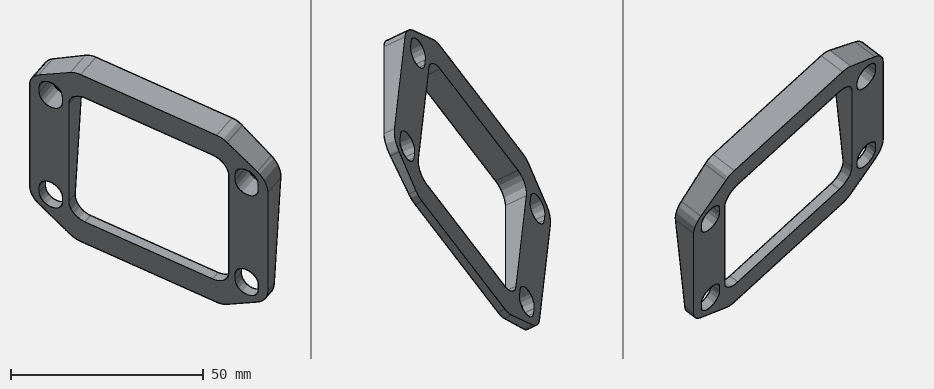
import cadquery as cq
import math

width = 73.0
height = 62.0
top_thickness = 7.5
taper_angle = 5.0
bottom_thickness = top_thickness - height * math.tan(math.radians(taper_angle))

bevel_x = 13.95
bevel_z = 8.8
outer_radius = 6.0
right_side_radius = 7.0

window_width = 49.0
window_height = 46.0
window_radius = 5.0

slot_spacing_x = 60.0
slot_spacing_z = 37.0
slot_width = 7.1
slot_length = 9.05


def front_plane():
    """Plane of the flat front face; its normal points toward -Y."""
    return cq.Workplane("XZ")


def make_plate():
    """Eight-sided plate with rounded corners, at full thickness."""
    half_x = width / 2
    half_z = height / 2
    flat_x = half_x - bevel_x
    flat_z = half_z - bevel_z
    outline = [
        (-flat_x, -half_z),
        (flat_x, -half_z),
        (half_x, -flat_z),
        (half_x, flat_z),
        (flat_x, half_z),
        (-flat_x, half_z),
        (-half_x, flat_z),
        (-half_x, -flat_z),
    ]
    plate = front_plane().polyline(outline).close().extrude(-top_thickness)
    plate = plate.edges("|Y and >X").fillet(right_side_radius)
    for edges in ("|Y and <X", "|Y and <Z", "|Y and >Z"):
        plate = plate.edges(edges).fillet(outer_radius)
    return plate


def make_wedge():
    """Side profile that is thick at the top and thin at the bottom."""
    profile = [
        (0, -height / 2),
        (bottom_thickness, -height / 2),
        (top_thickness, height / 2),
        (0, height / 2),
    ]
    return cq.Workplane("YZ").polyline(profile).close().extrude(width / 2, both=True)


def make_window():
    window = front_plane().rect(window_width, window_height).extrude(-top_thickness)
    return window.edges("|Y").fillet(window_radius)


def make_slots():
    return (
        front_plane()
        .rect(slot_spacing_x, slot_spacing_z, forConstruction=True)
        .vertices()
        .slot2D(slot_length, slot_width, 90)
        .extrude(-top_thickness)
    )


result = make_plate().intersect(make_wedge()).cut(make_window()).cut(make_slots())